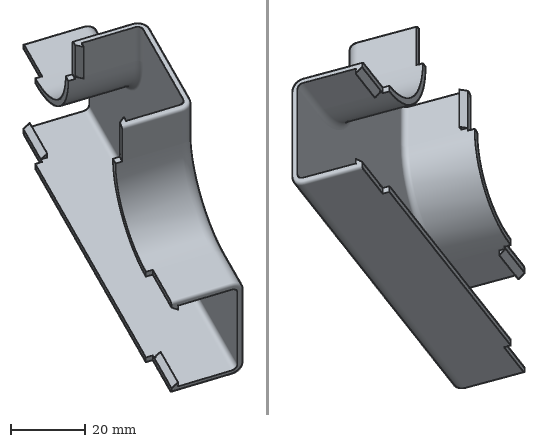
import cadquery as cq
import math

length = 104.7
height = 69.8
depth = 23.0
channel_width = 35.2
end_length = 13.3
wall = 1.9
back_radius = 3.6
inner_radius = back_radius - wall
rim_radius = 0.9
lip_step = 2.0
hook_reach = 1.6
hook_depth = 1.9
hook_length = 12.4

half_length = length / 2
half_width = channel_width / 2
sweep_radius = half_length - half_width - end_length
sweep_top = channel_width + sweep_radius
trim_margin = 1.0


def tee_block(inset, overrun, front, back, edge_radius):
    """Solid tee, inset from the outer walls, with rounded long edges at the back."""
    radius = sweep_radius + inset
    end_x = half_length + overrun
    top = height + overrun
    base = inset
    arm_top = channel_width - inset
    stem_x = half_width - inset
    sweep_x = half_width + sweep_radius
    diagonal = radius * math.sqrt(0.5)
    middle = (sweep_x - diagonal, sweep_top - diagonal)
    block = (
        cq.Workplane("XZ", origin=(0, back, 0))
        .moveTo(-end_x, base)
        .lineTo(end_x, base)
        .lineTo(end_x, arm_top)
        .lineTo(sweep_x, arm_top)
        .threePointArc(middle, (stem_x, sweep_top))
        .lineTo(stem_x, top)
        .lineTo(-stem_x, top)
        .lineTo(-stem_x, sweep_top)
        .threePointArc((-middle[0], middle[1]), (-sweep_x, arm_top))
        .lineTo(-end_x, arm_top)
        .close()
        .extrude(back - front)
    )
    end_edges = cq.selectors.StringSyntaxSelector("<X or >X or >Z")
    long_edges = cq.selectors.SubtractSelector(cq.selectors.StringSyntaxSelector(">Y"), end_edges)
    return block.faces(">Y").edges(long_edges).fillet(edge_radius)


def round_end_rims(block):
    """Round the outer edge around each end, leaving the open front edge sharp."""
    for end in ("<X", ">X", ">Z"):
        block = block.faces(end).edges("not <Y").fillet(rim_radius)
    return block


def shorten_ends(shell):
    """Set the front edges of the three straight ends back by the lip step."""
    cut_length = end_length + trim_margin
    cut_depth = lip_step + trim_margin
    arm_cut = cq.Workplane("XY").box(cut_length, cut_depth, channel_width + 2 * trim_margin)
    stem_cut = cq.Workplane("XY").box(channel_width + 2 * trim_margin, cut_depth, cut_length)
    cut_y = lip_step - cut_depth / 2
    arm_x = half_length - end_length + cut_length / 2
    for side in (-1, 1):
        shell = shell.cut(arm_cut.translate((side * arm_x, cut_y, channel_width / 2)))
    return shell.cut(stem_cut.translate((0, cut_y, sweep_top + cut_length / 2)))


def hook_pair():
    """Two facing snap hooks for one arm, running along +X from X = 0."""
    hooks = cq.Workplane("YZ")
    embed = wall / 2
    for face_z, inward in ((wall, 1), (channel_width - wall, -1)):
        hook = (
            cq.Workplane("YZ")
            .moveTo(lip_step, face_z - inward * embed)
            .lineTo(lip_step, face_z)
            .lineTo(lip_step + hook_depth, face_z + inward * hook_reach)
            .lineTo(lip_step + hook_depth, face_z - inward * embed)
            .close()
            .extrude(hook_length)
        )
        hooks = hooks.add(hook)
    return hooks.combine()


def add_hooks(shell):
    """Fit a pair of hooks inside each of the three ends."""
    pair = hook_pair()
    stem_pair = pair.rotate((0, 0, 0), (0, 1, 0), 90)
    shell = shell.union(pair.translate((-half_length, 0, 0)))
    shell = shell.union(pair.translate((half_length - hook_length, 0, 0)))
    return shell.union(stem_pair.translate((-half_width, 0, height)))


outer = round_end_rims(tee_block(0, 0, 0, depth, back_radius))
cavity = tee_block(wall, trim_margin, -trim_margin, depth - wall, inner_radius)
result = add_hooks(shorten_ends(outer.cut(cavity)))